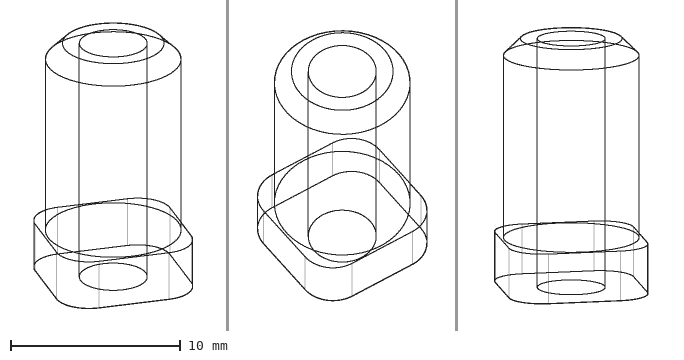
import cadquery as cq

total_height = 15.0
base_width = 8.3
base_height = 3.0
base_corner_radius = 2.0
barrel_diameter = 8.0
barrel_chamfer = 1.0
bore_diameter = 4.0

base = (
    cq.Workplane("XY")
    .rect(base_width, base_width)
    .extrude(base_height)
    .edges("|Z")
    .fillet(base_corner_radius)
)

barrel = (
    cq.Workplane("XY")
    .workplane(offset=base_height)
    .circle(barrel_diameter / 2)
    .extrude(total_height - base_height)
    .faces(">Z")
    .edges()
    .chamfer(barrel_chamfer)
)

bore = cq.Workplane("XY").circle(bore_diameter / 2).extrude(total_height)

result = base.union(barrel).cut(bore)